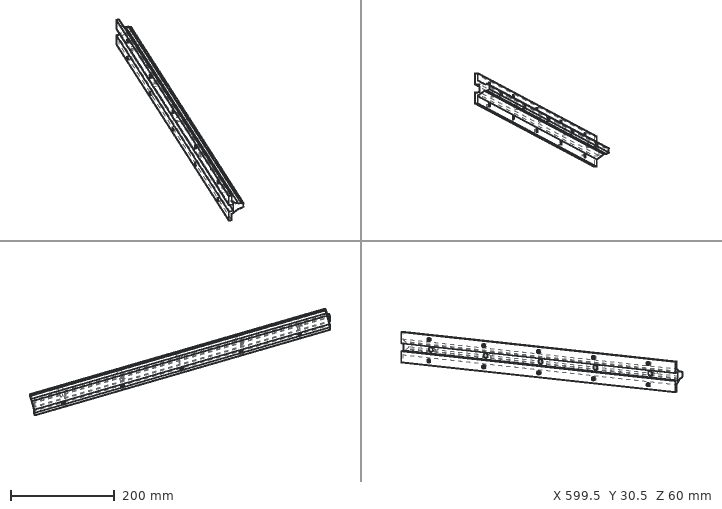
import cadquery as cq
import math

length = 599.5
depth = 30.5
height = 60.0

flange_thickness = 5.5
channel_depth = 9.0
channel_half_height = 8.0
web_root_half_height = 15.5
neck_half_height = 6.5
neck_start = 20.0
head_taper_length = 5.5
head_half_height = 4.0
shaft_radius = 10.0

hole_count = 5
hole_pitch = 120.0
flange_hole_diameter = 6.5
flange_hole_offset = 21.0
web_hole_diameter = 9.0


def rail_body():
    """Extrude the symmetric flanged profile with a round shaft seat along its back."""
    half_height = height / 2
    upper_half = [
        (channel_depth, channel_half_height),
        (0, channel_half_height),
        (0, half_height),
        (flange_thickness, half_height),
        (flange_thickness, web_root_half_height),
        (neck_start, neck_half_height),
        (depth - head_taper_length, neck_half_height),
        (depth, head_half_height),
    ]
    lower_half = [(y, -z) for y, z in reversed(upper_half)]
    seat_sag = shaft_radius - math.sqrt(shaft_radius**2 - head_half_height**2)
    return (
        cq.Workplane("YZ")
        .polyline(upper_half)
        .threePointArc((depth - seat_sag, 0), lower_half[0])
        .polyline(lower_half, includeCurrent=False)
        .close()
        .extrude(length / 2, both=True)
    )


def hole_row(z, diameter):
    """Return a row of cylinders along X that pass through the full depth."""
    first_x = -hole_pitch * (hole_count - 1) / 2
    centers = [(first_x + i * hole_pitch, z) for i in range(hole_count)]
    return cq.Workplane("XZ").pushPoints(centers).circle(diameter / 2).extrude(-depth)


result = rail_body()
result = result.cut(hole_row(0, web_hole_diameter))
for side in (1, -1):
    result = result.cut(hole_row(side * flange_hole_offset, flange_hole_diameter))